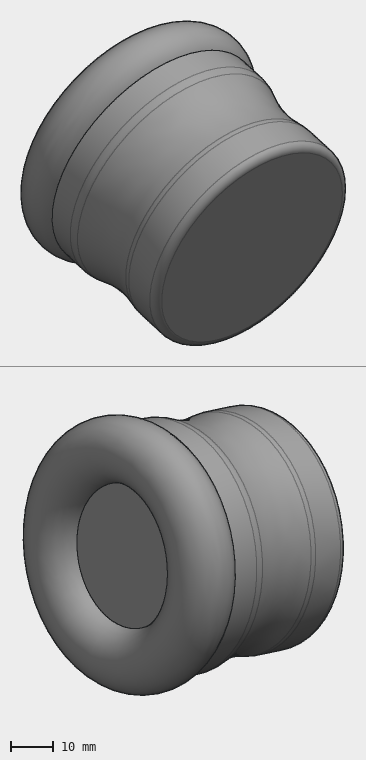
import cadquery as cq
import math

OUTER_DIAMETER = 65.95
TUBE_RADIUS = 7.9
RING_RADIUS = OUTER_DIAMETER / 2 - TUBE_RADIUS

LENGTH = 50.0
FACE_X = 7.0
FRONT_RADIUS = 61.0 / 2
REAR_RADIUS = 58.0 / 2
FRONT_BAND_END = 20.4
REAR_EDGE_FILLET = 2.0

WAIST_RADIUS = 28.15
WAIST_ARC = 27.95
BLEND_ARC = 6.0


def blend_span(band_radius):
    """Axial distance from the end of a band to the narrowest place of the waist."""
    centre_distance = WAIST_ARC + BLEND_ARC
    radial_distance = centre_distance - (band_radius - WAIST_RADIUS)
    return math.sqrt(centre_distance**2 - radial_distance**2)


def blend_end(band_radius):
    """Axial and radial travel along a blend, from the band to the concave arc."""
    share = BLEND_ARC / (WAIST_ARC + BLEND_ARC)
    return blend_span(band_radius) * share, (band_radius - WAIST_RADIUS) * share


def make_ring():
    centre = cq.Vector(TUBE_RADIUS, 0, 0)
    return cq.Workplane(cq.Solid.makeTorus(RING_RADIUS, TUBE_RADIUS, centre, cq.Vector(1, 0, 0)))


def make_plug(ring):
    waist_x = FRONT_BAND_END + blend_span(FRONT_RADIUS)
    rear_band_start = waist_x + blend_span(REAR_RADIUS)
    front_run, front_drop = blend_end(FRONT_RADIUS)
    rear_run, rear_drop = blend_end(REAR_RADIUS)
    profile = (
        cq.Workplane("XY")
        .moveTo(FACE_X, 0)
        .lineTo(FACE_X, FRONT_RADIUS)
        .lineTo(FRONT_BAND_END, FRONT_RADIUS)
        .tangentArcPoint((FRONT_BAND_END + front_run, FRONT_RADIUS - front_drop), relative=False)
        .threePointArc((waist_x, WAIST_RADIUS), (rear_band_start - rear_run, REAR_RADIUS - rear_drop))
        .tangentArcPoint((rear_band_start, REAR_RADIUS), relative=False)
        .lineTo(LENGTH, REAR_RADIUS)
        .lineTo(LENGTH, 0)
        .close()
    )
    plug = profile.revolve(360, (0, 0, 0), (1, 0, 0))
    plug = plug.faces(">X").edges().fillet(REAR_EDGE_FILLET)
    return plug.cut(ring)


ring = make_ring()
plug = make_plug(ring)

result = cq.Compound.makeCompound([ring.val(), *plug.solids().vals()])